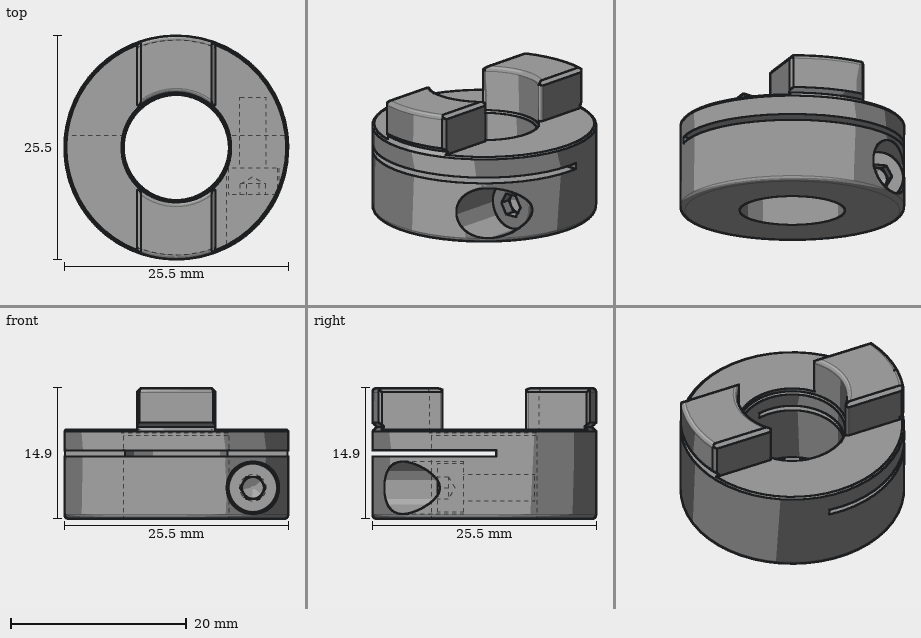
import cadquery as cq
import math

outer_radius = 12.75
bore_radius = 6.0
hub_height = 10.2
total_height = 14.9
base_fillet = 0.5

recess_radius = 6.25
recess_depth = 0.43
bore_chamfer = recess_radius - bore_radius

groove_depth = 0.5
groove_height = 10.48

jaw_half_width = 4.45
jaw_side_chamfer = 0.45
jaw_rim_fillet = 0.48
jaw_inner_fillet = 0.28
jaw_outer_chamfer = 0.3

slot_bottom = 7.11
slot_width = 0.7
slot_end_y = 1.35

screw_x = 8.72
screw_z = 3.55
head_radius = 2.78
head_edge_fillet = 0.1
head_front_y = -5.35
head_length = 3.0
shank_radius = 1.5
shank_length = 8.03
hex_across_flats = 2.5
hex_depth = 1.28
drill_point_angle = 118.0
counterbore_radius = 2.98

head_seat_y = head_front_y + head_length
clear = 0.25


def screw_rod(radius, start_y, length):
    """Cylinder on the screw axis, running in +Y from start_y."""
    plane = cq.Plane(origin=(screw_x, start_y, screw_z), xDir=(1, 0, 0), normal=(0, 1, 0))
    return cq.Workplane(plane).circle(radius).extrude(length)


def make_envelope():
    """Turned outside shape of ring and jaws: rounded outer rims and the V groove."""
    base_mid = base_fillet * (1 - math.sqrt(0.5))
    rim_mid = jaw_rim_fillet * (1 - math.sqrt(0.5))
    return (
        cq.Workplane("XZ")
        .lineTo(outer_radius - base_fillet, 0)
        .threePointArc((outer_radius - base_mid, base_mid), (outer_radius, base_fillet))
        .lineTo(outer_radius, groove_height - groove_depth)
        .lineTo(outer_radius - groove_depth, groove_height)
        .lineTo(outer_radius, groove_height + groove_depth)
        .lineTo(outer_radius, total_height - jaw_rim_fillet)
        .threePointArc(
            (outer_radius - rim_mid, total_height - rim_mid),
            (outer_radius - jaw_rim_fillet, total_height),
        )
        .lineTo(0, total_height)
        .close()
        .revolve(360, (0, 0, 0), (0, 1, 0))
    )


def make_bore():
    """Bore with its top recess and the cone between them."""
    recess_floor = hub_height - recess_depth
    return (
        cq.Workplane("XZ")
        .lineTo(bore_radius, 0)
        .lineTo(bore_radius, recess_floor - bore_chamfer)
        .lineTo(recess_radius, recess_floor)
        .lineTo(recess_radius, hub_height)
        .lineTo(0, hub_height)
        .close()
        .revolve(360, (0, 0, 0), (0, 1, 0))
    )


def make_inner_rounding():
    """Ring that, cut away, rounds the inner top rim of the jaws."""
    rim_mid = jaw_rim_fillet * (1 - math.sqrt(0.5))
    shoulder = total_height - jaw_rim_fillet
    return (
        cq.Workplane("XZ")
        .moveTo(recess_radius - clear, shoulder)
        .lineTo(recess_radius, shoulder)
        .threePointArc(
            (recess_radius + rim_mid, total_height - rim_mid),
            (recess_radius + jaw_rim_fillet, total_height),
        )
        .lineTo(recess_radius + jaw_rim_fillet, total_height + clear)
        .lineTo(recess_radius - clear, total_height + clear)
        .close()
        .revolve(360, (0, 0, 0), (0, 1, 0))
    )


def make_jaw():
    """Jaw block on the +Y side; it runs past the rim, to be trimmed by the envelope."""
    rim_y = math.sqrt(outer_radius**2 - jaw_half_width**2)
    side_end_y = rim_y - jaw_outer_chamfer
    bevel_dx = jaw_outer_chamfer * rim_y / outer_radius
    bevel_dy = jaw_outer_chamfer * (1 + jaw_half_width / outer_radius)
    end_y = outer_radius + clear
    end_half_width = jaw_half_width - bevel_dx / bevel_dy * (end_y - side_end_y)
    jaw_height = total_height - hub_height
    bore_clearance = cq.Workplane("XY", origin=(0, 0, hub_height)).circle(recess_radius).extrude(jaw_height)
    jaw = (
        cq.Workplane("XY", origin=(0, 0, hub_height))
        .polyline([
            (-jaw_half_width, 0),
            (jaw_half_width, 0),
            (jaw_half_width, side_end_y),
            (end_half_width, end_y),
            (-end_half_width, end_y),
            (-jaw_half_width, side_end_y),
        ])
        .close()
        .extrude(jaw_height)
        .cut(bore_clearance)
    )
    jaw = jaw.edges("|Z").edges("<Y").fillet(jaw_inner_fillet)
    bar = (
        cq.Workplane("XY", origin=(0, 0, hub_height - clear))
        .rect(2 * jaw_half_width, 2 * (outer_radius + 2 * clear))
        .extrude(jaw_height + clear)
        .faces(">Z").edges("|Y").chamfer(jaw_side_chamfer)
    )
    return jaw.intersect(bar).cut(make_inner_rounding())


def make_hub():
    blank = cq.Workplane("XY").circle(outer_radius + clear).extrude(hub_height)
    jaw = make_jaw()
    for angle in (0, 180):
        blank = blank.union(jaw.rotate((0, 0, 0), (0, 0, 1), angle))
    hub = blank.intersect(make_envelope())
    return hub.cut(make_bore()).cut(make_slot()).cut(counterbore).cut(shank_hole)


def make_slot():
    depth = outer_radius + clear + slot_end_y
    return cq.Workplane("XY").box(
        2 * (outer_radius + clear), depth, slot_width, centered=(True, False, False)
    ).translate((0, slot_end_y - depth, slot_bottom))


def make_screw():
    head = screw_rod(head_radius, head_front_y, head_length)
    head = head.faces("<Y").edges().fillet(head_edge_fillet)
    return head.union(screw_rod(shank_radius, head_seat_y, shank_length)).cut(make_hex_socket())


def make_hex_socket():
    """Hexagonal socket that ends in a drill point."""
    plane = cq.Plane(origin=(screw_x, head_front_y, screw_z), xDir=(1, 0, 0), normal=(0, 1, 0))
    across_corners = hex_across_flats / math.cos(math.radians(30))
    socket = cq.Workplane(plane).polygon(6, across_corners).extrude(hex_depth)
    point_radius = hex_across_flats / 2
    point_depth = point_radius / math.tan(math.radians(drill_point_angle / 2))
    point = cq.Solid.makeCone(
        point_radius, 0, point_depth,
        pnt=cq.Vector(screw_x, head_front_y + hex_depth, screw_z), dir=cq.Vector(0, 1, 0),
    )
    return socket.union(cq.Workplane(point))


counterbore = screw_rod(counterbore_radius, -outer_radius - clear, outer_radius + clear + head_seat_y)
shank_hole = screw_rod(shank_radius, head_seat_y, shank_length)

hub = make_hub()
screw = make_screw()

result = cq.Compound.makeCompound([hub.val(), screw.val()])